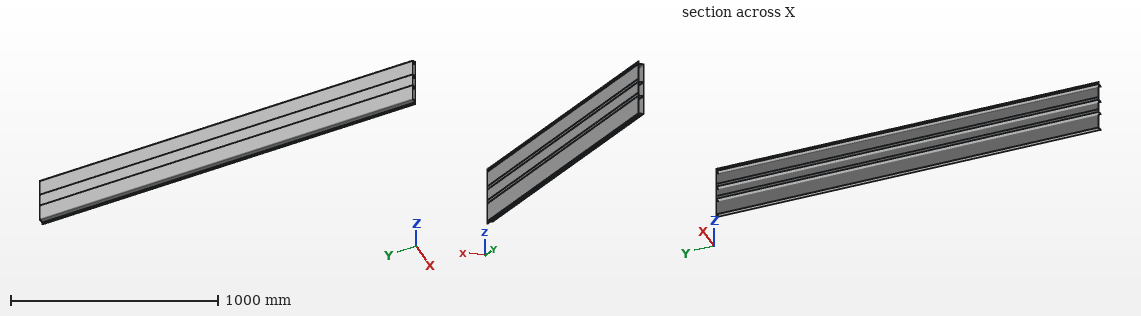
import cadquery as cq

LENGTH = 2000.0
DEPTH = 28.0
HEIGHT = 272.0

SHEET = 0.8
BEND_RADIUS = 2.8
COVER_HEIGHT = 250.0
HEM = 5.0
RIB_FOOT = 15.0
RIB_SPACING = 70.0

FRONT_X = -DEPTH / 2
BACK_X = DEPTH / 2
SEAT_X = BACK_X - SHEET
LIP_FRONT_X = SEAT_X - SHEET
HEM_FRONT_X = LIP_FRONT_X - SHEET
LIP_TOP = HEIGHT / 2 - SHEET


def bar(x_start, x_end, z_bottom, z_top):
    """Full-length rectangular bar between the given X and Z limits."""
    return cq.Workplane("XY").box(x_end - x_start, LENGTH, z_top - z_bottom).translate(
        ((x_start + x_end) / 2, 0, (z_bottom + z_top) / 2)
    )


def make_back_sheet():
    """Back sheet whose top and bottom edges are folded forward over the cover lips."""
    half_height = HEIGHT / 2
    blank = bar(HEM_FRONT_X, BACK_X, -half_height, half_height)
    lip_groove = bar(LIP_FRONT_X, SEAT_X, -LIP_TOP, LIP_TOP)
    hem_bottom = half_height - HEM
    opening = bar(HEM_FRONT_X, SEAT_X, -hem_bottom, hem_bottom)
    return blank.cut(lip_groove).cut(opening)


def make_cover():
    """Hat section: a tray with rounded front bends and a lip along its top and bottom."""
    tray = bar(FRONT_X, SEAT_X, -COVER_HEIGHT / 2, COVER_HEIGHT / 2)
    tray = tray.edges("<X and |Y").fillet(BEND_RADIUS)
    lips = bar(LIP_FRONT_X, SEAT_X, -LIP_TOP, LIP_TOP)
    inner_height = COVER_HEIGHT - 2 * SHEET
    cavity = bar(FRONT_X + SHEET, SEAT_X, -inner_height / 2, inner_height / 2)
    cavity = cavity.edges("<X and |Y").fillet(BEND_RADIUS - SHEET)
    return tray.union(lips).cut(cavity)


def make_rib(z_middle):
    """Angle rib: a web from the back sheet to the cover and a foot rising along the back sheet."""
    web_bottom = z_middle - SHEET / 2
    web = bar(FRONT_X + SHEET, SEAT_X, web_bottom, web_bottom + SHEET)
    foot = bar(SEAT_X - SHEET, SEAT_X, web_bottom, web_bottom + RIB_FOOT)
    return web.union(foot)


back_sheet = make_back_sheet()
cover = make_cover()
ribs = [make_rib(side * RIB_SPACING / 2) for side in (-1, 1)]

result = cq.Compound.makeCompound([back_sheet.val(), cover.val(), *[rib.val() for rib in ribs]])